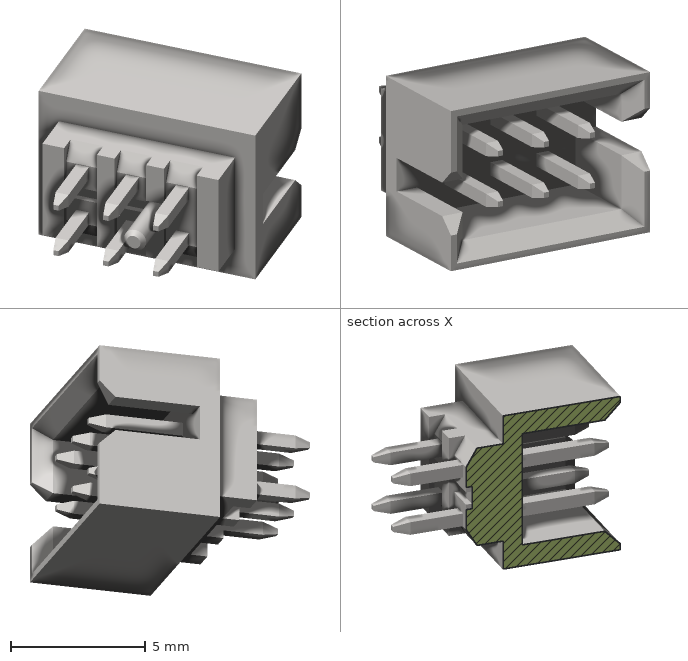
import cadquery as cq

SHROUD_WIDTH = 8.65
SHROUD_HEIGHT = 6.3
SHROUD_LENGTH = 4.7
WALL = 0.88
CAVITY_DEPTH = 3.91
LEAD_IN = 0.62

SLOT_TOP = 1.17
SLOT_BOTTOM = -0.15
SLOT_FLARE_RISE = 0.58

BASE_WIDTH = 7.03
BASE_HEIGHT = 4.005
BASE_LENGTH = 1.69
RIB_WIDTH = 0.71
OUTER_RECESS_WIDTH = 1.31
RECESS_DEPTH = 0.22
RECESS_EDGE_DEPTH = 0.66
RECESS_FLOOR_HEIGHT = 2.56
GROOVE_HEIGHT = 0.5
GROOVE_DEPTH = 0.45

PITCH = 1.99
PIN_SIZE = 0.52
PIN_TIP_SIZE = 0.21
PIN_TAPER = 0.62
PIN_REAR_REACH = 2.51
PIN_MOUTH_GAP = 0.285

PEG_DIAMETER = 0.87
PEG_REACH = 2.225
PEG_CHAMFER = 0.17
PEG_POCKET = 0.89

BASE_REAR = -BASE_LENGTH
CAVITY_FLOOR = SHROUD_LENGTH - CAVITY_DEPTH
GROOVE_FLOOR = BASE_REAR + GROOVE_DEPTH
MID_RECESS_WIDTH = 2 * (PITCH - RIB_WIDTH) - OUTER_RECESS_WIDTH
OUTER_RECESS_CENTER = MID_RECESS_WIDTH / 2 + RIB_WIDTH + OUTER_RECESS_WIDTH / 2
PEG_X = PITCH / 2


def block(x_range, y_range, z_range):
    """Box spanning the given (low, high) ranges."""
    size = [high - low for low, high in (x_range, y_range, z_range)]
    corner = (x_range[0], y_range[0], z_range[0])
    return cq.Workplane("XY").box(*size, centered=False).translate(corner)


def centered_block(width, height, y_start, y_end):
    """Box centered on the Y axis."""
    return block((-width / 2, width / 2), (y_start, y_end), (-height / 2, height / 2))


def frustum(start_size, end_size, y_start, y_end):
    """Rectangular taper along Y between two (width, height) sections."""
    return (
        cq.Workplane("XZ", origin=(0, y_start, 0))
        .rect(*start_size)
        .workplane(offset=y_start - y_end)
        .rect(*end_size)
        .loft(ruled=True)
    )


def side_slot():
    """Slot through the -X wall, flared at the mouth."""
    flare_start = SHROUD_LENGTH - LEAD_IN
    profile = [
        (CAVITY_FLOOR, SLOT_BOTTOM),
        (flare_start, SLOT_BOTTOM),
        (SHROUD_LENGTH, SLOT_BOTTOM - SLOT_FLARE_RISE),
        (SHROUD_LENGTH, SLOT_TOP + SLOT_FLARE_RISE),
        (flare_start, SLOT_TOP),
        (CAVITY_FLOOR, SLOT_TOP),
    ]
    return (
        cq.Workplane("YZ", origin=(-SHROUD_WIDTH / 2, 0, 0))
        .polyline(profile)
        .close()
        .extrude(WALL)
    )


def shroud():
    cavity_size = (SHROUD_WIDTH - 2 * WALL, SHROUD_HEIGHT - 2 * WALL)
    mouth_size = [side + 2 * LEAD_IN for side in cavity_size]
    body = centered_block(SHROUD_WIDTH, SHROUD_HEIGHT, 0, SHROUD_LENGTH)
    body = body.cut(centered_block(*cavity_size, CAVITY_FLOOR, SHROUD_LENGTH))
    body = body.cut(frustum(cavity_size, mouth_size, SHROUD_LENGTH - LEAD_IN, SHROUD_LENGTH))
    slot = side_slot()
    opposite_slot = slot.rotate((0, 0, 0), (0, 1, 0), 180)
    return body.cut(slot).cut(opposite_slot)


def recess(x_center, width):
    """Full-height channel in the rear face, deepening toward its top and bottom ends."""
    floor = BASE_REAR + RECESS_DEPTH
    edge = BASE_REAR + RECESS_EDGE_DEPTH
    profile = [
        (BASE_REAR, -BASE_HEIGHT / 2),
        (edge, -BASE_HEIGHT / 2),
        (floor, -RECESS_FLOOR_HEIGHT / 2),
        (floor, RECESS_FLOOR_HEIGHT / 2),
        (edge, BASE_HEIGHT / 2),
        (BASE_REAR, BASE_HEIGHT / 2),
    ]
    return (
        cq.Workplane("YZ", origin=(x_center - width / 2, 0, 0))
        .polyline(profile)
        .close()
        .extrude(width)
    )


def cross_groove(x_center, width):
    """Horizontal groove sunk below the floor of a recess."""
    groove = centered_block(width, GROOVE_HEIGHT, BASE_REAR, GROOVE_FLOOR)
    return groove.translate((x_center, 0, 0))


def base():
    body = centered_block(BASE_WIDTH, BASE_HEIGHT, BASE_REAR, 0)
    left, middle, right = (
        (-OUTER_RECESS_CENTER, OUTER_RECESS_WIDTH),
        (0, MID_RECESS_WIDTH),
        (OUTER_RECESS_CENTER, OUTER_RECESS_WIDTH),
    )
    for placement in (left, middle, right):
        body = body.cut(recess(*placement))
    for placement in (left, middle):
        body = body.cut(cross_groove(*placement))
    peg_pocket = centered_block(PEG_POCKET, PEG_POCKET, BASE_REAR, GROOVE_FLOOR)
    return body.cut(peg_pocket.translate((PEG_X, 0, 0)))


def pin():
    section = (PIN_SIZE, PIN_SIZE)
    tip = (PIN_TIP_SIZE, PIN_TIP_SIZE)
    rear_tip = BASE_REAR - PIN_REAR_REACH
    front_tip = SHROUD_LENGTH - PIN_MOUTH_GAP
    shank = centered_block(*section, rear_tip + PIN_TAPER, front_tip - PIN_TAPER)
    rear_taper = frustum(tip, section, rear_tip, rear_tip + PIN_TAPER)
    front_taper = frustum(section, tip, front_tip - PIN_TAPER, front_tip)
    return shank.union(rear_taper).union(front_taper)


def peg():
    return (
        cq.Workplane("XZ", origin=(PEG_X, GROOVE_FLOOR, 0))
        .circle(PEG_DIAMETER / 2)
        .extrude(GROOVE_DEPTH + PEG_REACH)
        .faces("<Y")
        .chamfer(PEG_CHAMFER)
    )


result = shroud().union(base()).union(peg())
for column in (-1, 0, 1):
    for row in (-0.5, 0.5):
        result = result.union(pin().translate((column * PITCH, 0, row * PITCH)))